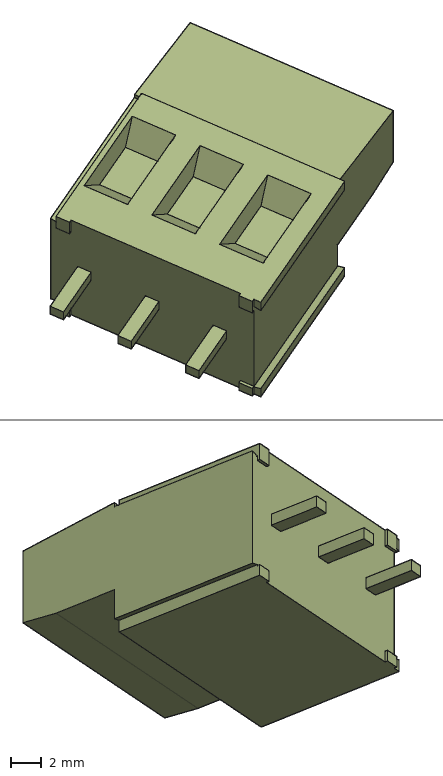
import cadquery as cq
import math

pole_count = 3
pitch = 5.0
height = 10.0
body_length = 11.3
body_width = pole_count * pitch

rail_width = 0.52
rail_root_height = 0.75
rail_angle = 15
rail_tip_height = rail_root_height + rail_width * math.tan(math.radians(rail_angle))

plug_length = 7.5
plug_top_drop = 0.45
plug_top_end_drop = 1.33
plug_bottom_z = 2.95
plug_bottom_end_z = 3.25
plug_bottom_taper = 2.72

foot_width = 1.0
foot_projection = 0.2
top_foot_height = 1.22
bottom_foot_height = 0.8

pin_length = 3.71
pin_width = 1.0
pin_height = 0.83

funnel_center_y = 6.12
funnel_mouth_width = 3.2
funnel_mouth_length = 6.48
funnel_floor_width = 2.56
funnel_floor_length = 3.49
funnel_depth = 1.4

pole_centers = [pitch * (pole + 0.5) for pole in range(pole_count)]


def block(x, y, z, size_x, size_y, size_z):
    """Box given by its minimum corner and its size."""
    return cq.Workplane("XY").box(size_x, size_y, size_z, centered=False).translate((x, y, z))


def make_body():
    """Body section: the rails project at +X and fit the grooves at -X."""
    outline = [
        (rail_width, 0),
        (body_width + rail_width, 0),
        (body_width + rail_width, rail_tip_height),
        (body_width, rail_root_height),
        (body_width, height - rail_root_height),
        (body_width + rail_width, height - rail_tip_height),
        (body_width + rail_width, height),
        (rail_width, height),
        (rail_width, height - rail_tip_height),
        (0, height - rail_root_height),
        (0, rail_root_height),
        (rail_width, rail_tip_height),
    ]
    return cq.Workplane("XZ").polyline(outline).close().extrude(-body_length)


def make_plug():
    """Plug section with a sloping top and a tapered underside."""
    end_y = body_length + plug_length
    outline = [
        (body_length, plug_bottom_z),
        (end_y - plug_bottom_taper, plug_bottom_z),
        (end_y, plug_bottom_end_z),
        (end_y, height - plug_top_end_drop),
        (body_length, height - plug_top_drop),
    ]
    return cq.Workplane("YZ").polyline(outline).close().extrude(body_width)


def make_funnel(center_x):
    """Tapered pocket cutter, wide at the top face and narrow at its floor."""
    return (
        cq.Workplane("XY", origin=(center_x, funnel_center_y, height))
        .rect(funnel_mouth_width, funnel_mouth_length)
        .workplane(offset=-funnel_depth)
        .rect(funnel_floor_width, funnel_floor_length)
        .loft(ruled=True)
    )


result = make_body().union(make_plug())

for foot_x in (rail_width, body_width - foot_width):
    for foot_z, foot_height in ((0, bottom_foot_height), (height - top_foot_height, top_foot_height)):
        foot = block(foot_x, -foot_projection, foot_z, foot_width, foot_projection, foot_height)
        result = result.union(foot)

for center_x in pole_centers:
    pin = block(
        center_x - pin_width / 2, -pin_length, (height - pin_height) / 2,
        pin_width, pin_length, pin_height,
    )
    result = result.union(pin).cut(make_funnel(center_x))